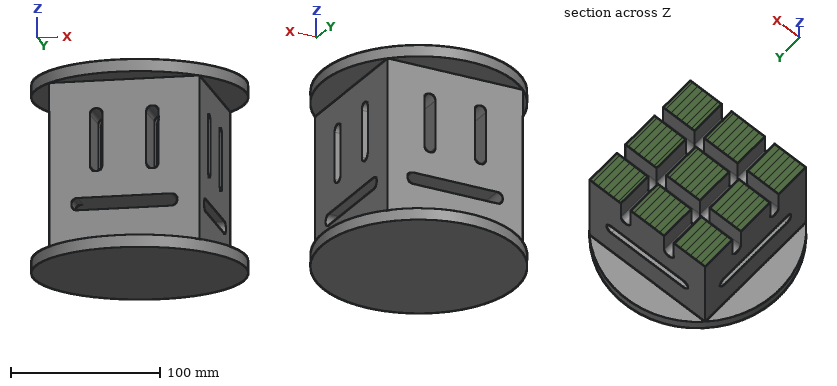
import cadquery as cq

total_height = 130.0
flange_thickness = 8.5

post_side = 103.0
post_height = total_height - 2 * flange_thickness
flange_diameter = post_side * 2**0.5

slot_width = 8.5
upright_slot_length = 43.5
upright_slot_spacing = 38.5
upright_slot_height = 80.75
level_slot_length = 72.5
level_slot_height = 36.75


def make_flange(base_height):
    """Round plate lying on the given height."""
    return (
        cq.Workplane("XY")
        .workplane(offset=base_height)
        .circle(flange_diameter / 2)
        .extrude(flange_thickness)
    )


def make_post():
    """Solid square post between the two flanges."""
    return (
        cq.Workplane("XY")
        .workplane(offset=flange_thickness)
        .rect(post_side, post_side)
        .extrude(post_height)
    )


def make_slot_cutters(plane):
    """Two upright slots and one level slot, running through the whole post."""
    half_spacing = upright_slot_spacing / 2
    upright_slots = (
        cq.Workplane(plane)
        .pushPoints([(side * half_spacing, upright_slot_height) for side in (-1, 1)])
        .slot2D(upright_slot_length, slot_width, angle=90)
        .extrude(post_side / 2, both=True)
    )
    level_slot = (
        cq.Workplane(plane)
        .center(0, level_slot_height)
        .slot2D(level_slot_length, slot_width)
        .extrude(post_side / 2, both=True)
    )
    return upright_slots.union(level_slot)


lower_flange = make_flange(0)
upper_flange = make_flange(total_height - flange_thickness)

post = make_post()
for slot_plane in ("XZ", "YZ"):
    post = post.cut(make_slot_cutters(slot_plane))

result = lower_flange.union(post).union(upper_flange)